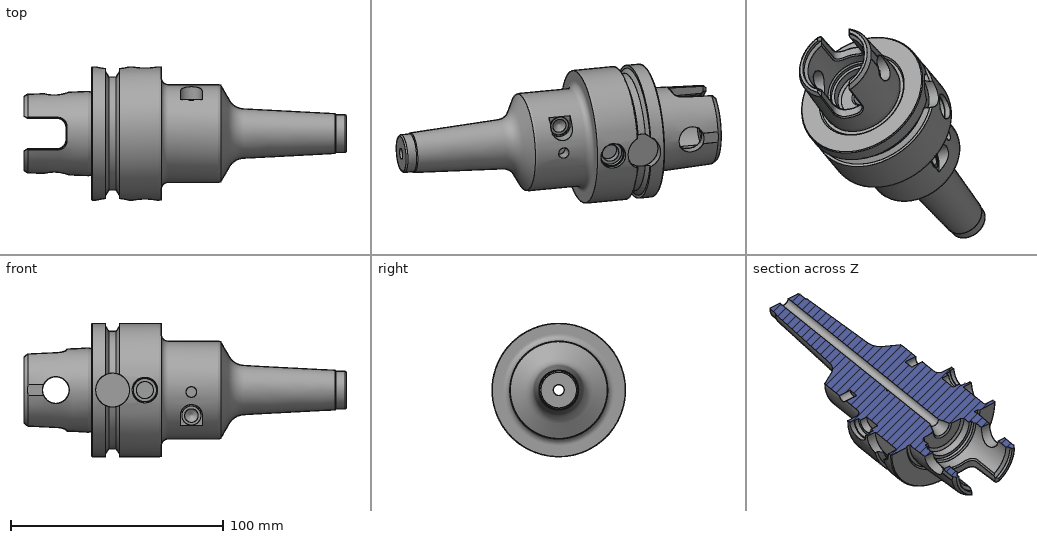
import cadquery as cq
import math


shank_length = 31.8
shank_mouth_radius = 18.7
shank_base_radius = 19.9
shank_chamfer_length = 2.0
shank_chamfer_depth = 1.2
shank_collar_length = 1.4

face_groove_inner_radius = 19.6
face_groove_outer_radius = 22.0
face_groove_depth = 0.8

flange_radius = 63.0 / 2
flange_end = 64.8
flange_front_chamfer = 0.5
flange_rear_chamfer_length = 1.0
flange_rear_chamfer_depth = 0.2
grip_groove_start = 38.5
grip_groove_end = 45.0
grip_groove_flank_length = 1.5
grip_groove_flank_top_radius = 30.1
grip_groove_floor_radius = 27.8

neck_radius = 23.1
neck_fillet_radius = 3.2
neck_end = 91.7
neck_chamfer_length = 1.0
neck_chamfer_depth = 0.3
shoulder_slope = 60
nose_slope = 3
shoulder_fillet_radius = 8.0
nose_end = 146.5
nose_end_radius = 9.5
nose_chamfer = 0.5
tip_radius = 18.0 / 2
tip_end = 152
tip_chamfer_length = 0.8
tip_chamfer_depth = 0.6

mouth_bore_radius = 16.0
mouth_bore_length = 1.5
mouth_bore_chamfer = 1.4
main_bore_start = mouth_bore_length + mouth_bore_chamfer
main_bore_radius = mouth_bore_radius - mouth_bore_chamfer
bore_step_start = 25.5
bore_step_radius = 13.8
clearance_radius = 12.3
clearance_start = 27.8
clearance_chamfer_length = 0.9
clearance_floor_radius = 11.0
clearance_end = 32.5
socket_radius = 11.0 / 2
socket_chamfer = 0.8
socket_depth = 6.1
through_radius = 5.0 / 2

slot_width = 14.3
slot_length = 19.8
slot_corner_radius = 4.1
slot_mouth_chamfer_length = 1.8
slot_mouth_chamfer_width = 1.0
slot_edge_chamfer = 0.6
selection_margin = 0.2

ball_hole_diameter = 12.5
ball_hole_x = 15.0
shank_flat_width = 5.2
shank_flat_distance = 18.5
dimple_diameter = 16.0
dimple_x = 41.8
dimple_floor = 26.6
flange_hole_diameter = 12.0
flange_hole_tap_diameter = 11.0
flange_hole_core_diameter = 8.0
flange_hole_x = 57.0
flange_hole_rim_floor = 28.9
flange_hole_tap_floor = 26.6
flange_hole_floor = 22.8
neck_holes_x = 78.9
small_hole_diameter = 5.0
small_hole_z = -0.9
small_hole_floor = 16.7
screw_pocket_diameter = 10.3
screw_pocket_z = -12.0
screw_pocket_floor = 16.0
screw_seat_diameter = 9.0
screw_seat_floor = 15.5
screw_hole_rim_diameter = 6.4
screw_hole_diameter = 5.0
screw_hole_depth = 1.5


def revolve_about_x(profile):
    return profile.close().revolve(360, (0, 0, 0), (1, 0, 0))


def outer_body():
    neck_cone_start = neck_end + neck_chamfer_length
    neck_cone_radius = neck_radius - neck_chamfer_depth
    cone_angle = math.radians(shoulder_slope)
    nose_angle = math.radians(nose_slope)

    corner_x = (
        neck_cone_radius - nose_end_radius
        + neck_cone_start * math.tan(cone_angle) - nose_end * math.tan(nose_angle)
    ) / (math.tan(cone_angle) - math.tan(nose_angle))
    corner_radius = nose_end_radius + (nose_end - corner_x) * math.tan(nose_angle)
    tangent_length = shoulder_fillet_radius * math.tan((cone_angle - nose_angle) / 2)

    grip_floor_start = grip_groove_start + grip_groove_flank_length
    grip_floor_end = grip_groove_end - grip_groove_flank_length
    profile = (
        cq.Workplane("XY")
        .moveTo(0, 0)
        .lineTo(0, shank_mouth_radius - shank_chamfer_depth)
        .lineTo(shank_chamfer_length, shank_mouth_radius)
        .lineTo(shank_length - shank_collar_length, shank_base_radius)
        .lineTo(shank_length, face_groove_inner_radius)
        .lineTo(shank_length + face_groove_depth, face_groove_inner_radius)
        .lineTo(shank_length + face_groove_depth, face_groove_outer_radius - face_groove_depth)
        .lineTo(shank_length, face_groove_outer_radius)
        .lineTo(shank_length, flange_radius - flange_front_chamfer)
        .lineTo(shank_length + flange_front_chamfer, flange_radius)
        .lineTo(grip_groove_start, flange_radius)
        .lineTo(grip_groove_start, grip_groove_flank_top_radius)
        .lineTo(grip_floor_start, grip_groove_floor_radius)
        .lineTo(grip_floor_end, grip_groove_floor_radius)
        .lineTo(grip_groove_end, grip_groove_flank_top_radius)
        .lineTo(grip_groove_end, flange_radius)
        .lineTo(flange_end - flange_rear_chamfer_length, flange_radius)
        .lineTo(flange_end, flange_radius - flange_rear_chamfer_depth)
        .lineTo(flange_end, neck_radius + neck_fillet_radius)
        .radiusArc((flange_end + neck_fillet_radius, neck_radius), -neck_fillet_radius)
        .lineTo(neck_end, neck_radius)
        .lineTo(neck_cone_start, neck_cone_radius)
        .lineTo(
            corner_x - tangent_length * math.cos(cone_angle),
            corner_radius + tangent_length * math.sin(cone_angle),
        )
        .radiusArc(
            (
                corner_x + tangent_length * math.cos(nose_angle),
                corner_radius - tangent_length * math.sin(nose_angle),
            ),
            -shoulder_fillet_radius,
        )
        .lineTo(nose_end, nose_end_radius)
        .lineTo(nose_end + nose_chamfer, tip_radius)
        .lineTo(tip_end - tip_chamfer_length, tip_radius)
        .lineTo(tip_end, tip_radius - tip_chamfer_depth)
        .lineTo(tip_end, 0)
    )
    return revolve_about_x(profile)


def axial_bore():
    socket_end = clearance_end + socket_depth
    profile = (
        cq.Workplane("XY")
        .moveTo(0, 0)
        .lineTo(0, mouth_bore_radius)
        .lineTo(mouth_bore_length, mouth_bore_radius)
        .lineTo(main_bore_start, main_bore_radius)
        .lineTo(bore_step_start, main_bore_radius)
        .lineTo(bore_step_start + main_bore_radius - bore_step_radius, bore_step_radius)
        .lineTo(clearance_start, bore_step_radius)
        .lineTo(clearance_start, clearance_radius)
        .lineTo(clearance_end - clearance_chamfer_length, clearance_radius)
        .lineTo(clearance_end, clearance_floor_radius)
        .lineTo(clearance_end, socket_radius)
        .lineTo(clearance_end + socket_chamfer, socket_radius - socket_chamfer)
        .lineTo(socket_end, through_radius)
        .lineTo(tip_end, through_radius)
        .lineTo(tip_end, 0)
    )
    return revolve_about_x(profile)


def slotted_shank(body):
    """Cut the drive slots through the shank and break their edges, inside and outside."""
    half_width = slot_width / 2
    mouth_half_width = half_width + slot_mouth_chamfer_width
    straight_end = slot_length - slot_corner_radius
    half_end_flat = half_width - slot_corner_radius
    slot = (
        cq.Workplane("XY")
        .moveTo(0, -mouth_half_width)
        .lineTo(slot_mouth_chamfer_length, -half_width)
        .lineTo(straight_end, -half_width)
        .radiusArc((slot_length, -half_end_flat), -slot_corner_radius)
        .lineTo(slot_length, half_end_flat)
        .radiusArc((straight_end, half_width), -slot_corner_radius)
        .lineTo(slot_mouth_chamfer_length, half_width)
        .lineTo(0, mouth_half_width)
        .close()
        .extrude(shank_base_radius, both=True)
    )
    slotted = body.cut(slot)
    rim_box = cq.selectors.BoxSelector(
        (main_bore_start, -half_width - selection_margin, -shank_base_radius),
        (slot_length + selection_margin, half_width + selection_margin, shank_base_radius),
    )
    rims = slotted.edges(rim_box).edges("not |Z")
    return rims.chamfer(slot_edge_chamfer)


def side_hole(x, z, diameter, floor):
    """Flat-bottomed hole along Y, open on the -Y side, with its floor at Y = -floor."""
    depth = flange_radius - floor
    return (
        cq.Workplane("XZ", origin=(x, -floor, z))
        .circle(diameter / 2)
        .extrude(depth)
    )


def screw_pocket():
    """Round-ended pocket along Y that runs out through the neck surface in the -Z direction."""
    height = neck_radius + screw_pocket_z
    run_out = (
        cq.Workplane("XZ", origin=(neck_holes_x, -screw_pocket_floor, screw_pocket_z - height / 2))
        .rect(screw_pocket_diameter, height)
        .extrude(neck_radius - screw_pocket_floor)
    )
    round_end = side_hole(neck_holes_x, screw_pocket_z, screw_pocket_diameter, screw_pocket_floor)
    return round_end.union(run_out)


def screw_hole():
    """Countersunk hole with a conical bottom in the floor of the screw pocket."""
    rim_radius = screw_hole_rim_diameter / 2
    radius = screw_hole_diameter / 2
    rim_depth = rim_radius - radius
    return (
        cq.Workplane("XY")
        .moveTo(0, 0)
        .lineTo(rim_radius, 0)
        .lineTo(radius, rim_depth)
        .lineTo(0, rim_depth + screw_hole_depth)
        .close()
        .revolve(360, (0, 0, 0), (0, 1, 0))
        .translate((neck_holes_x, -screw_seat_floor, screw_pocket_z))
    )


def shank_flat():
    depth = shank_base_radius - shank_flat_distance
    return (
        cq.Workplane("XZ", origin=(0, -shank_flat_distance, 0))
        .rect(2 * ball_hole_x, shank_flat_width)
        .extrude(depth)
    )


def side_features():
    return [
        side_hole(ball_hole_x, 0, ball_hole_diameter, 0),
        shank_flat(),
        side_hole(dimple_x, 0, dimple_diameter, dimple_floor),
        side_hole(flange_hole_x, 0, flange_hole_diameter, flange_hole_rim_floor),
        side_hole(flange_hole_x, 0, flange_hole_tap_diameter, flange_hole_tap_floor),
        side_hole(flange_hole_x, 0, flange_hole_core_diameter, flange_hole_floor),
        side_hole(neck_holes_x, small_hole_z, small_hole_diameter, small_hole_floor),
        screw_pocket(),
        side_hole(neck_holes_x, screw_pocket_z, screw_seat_diameter, screw_seat_floor),
        screw_hole(),
    ]


result = slotted_shank(outer_body().cut(axial_bore()))
for feature in side_features():
    result = result.cut(feature)
    result = result.cut(feature.rotate((0, 0, 0), (1, 0, 0), 180))